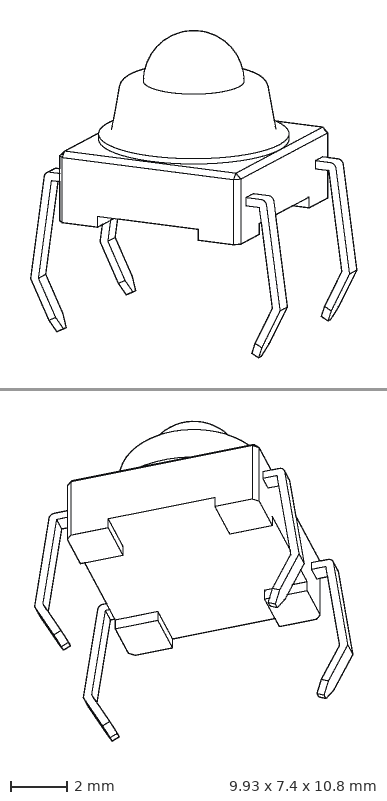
import cadquery as cq
import math


housing_x = 7.2
housing_y = 7.4
housing_height = 2.6
edge_chamfer = 0.2
channel_width = 4.0
channel_depth = 0.4

flange_diameter = 6.8
flange_thickness = 0.2
collar_base_radius = 2.96
collar_height = 1.95
collar_draft = 10.0
collar_top_fillet = 0.3
collar_foot_fillet = 0.2
button_height = 3.95

lead_span = 9.93
lead_spacing = 5.6
lead_width = 0.6
lead_thickness = 0.3
lead_top_z = 1.63
knee_z = -2.4
lead_bottom_z = housing_height + button_height - 10.85
upper_lean = 8.0
lower_lean = 26.6
shoulder_radius = 0.22
tip_width = 0.22
tip_length = 0.5


def make_housing():
    """Chamfered block standing on four feet left by two crossing channels."""
    block = cq.Workplane("XY").box(housing_x, housing_y, housing_height, centered=(True, True, False))
    block = block.edges("|Z or >Z").chamfer(edge_chamfer)
    channel_along_x = cq.Workplane("XY").box(
        housing_x, channel_width, channel_depth, centered=(True, True, False)
    )
    channel_along_y = cq.Workplane("XY").box(
        channel_width, housing_y, channel_depth, centered=(True, True, False)
    )
    return block.cut(channel_along_x).cut(channel_along_y)


def circle_at(body, radius, height):
    """Select the circular edge of the given radius at the given height."""
    tolerance = 0.001
    return body.edges("%CIRCLE").filter(
        lambda edge: abs(edge.radius() - radius) < tolerance and abs(edge.Center().z - height) < tolerance
    )


def make_button():
    """Flange, collar and dome revolved about Z, resting on the housing top."""
    flange_radius = flange_diameter / 2
    flange_top_z = housing_height + flange_thickness
    collar_top_z = flange_top_z + collar_height
    collar_top_radius = collar_base_radius - collar_height * math.tan(math.radians(collar_draft))
    dome_top_z = housing_height + button_height
    dome_radius = dome_top_z - collar_top_z
    dome_diagonal = dome_radius * math.sqrt(0.5)

    button = (
        cq.Workplane("XZ")
        .moveTo(0, housing_height)
        .lineTo(flange_radius, housing_height)
        .lineTo(flange_radius, flange_top_z)
        .lineTo(collar_base_radius, flange_top_z)
        .lineTo(collar_top_radius, collar_top_z)
        .lineTo(dome_radius, collar_top_z)
        .threePointArc((dome_diagonal, collar_top_z + dome_diagonal), (0, dome_top_z))
        .close()
        .revolve(360, (0, 0, 0), (0, 1, 0))
    )
    button = circle_at(button, collar_base_radius, flange_top_z).fillet(collar_foot_fillet)
    return circle_at(button, collar_top_radius, collar_top_z).fillet(collar_top_fillet)


def make_lead():
    """One bent strip on the -X side, centred on Y = 0, with a pointed tip."""
    upper = math.radians(upper_lean)
    lower = math.radians(lower_lean)
    root_x = -housing_x / 2
    knee_x = -lead_span / 2

    shoulder = (knee_x + (lead_top_z - knee_z) * math.tan(upper), lead_top_z)
    knee = (knee_x, knee_z)
    tip = (knee_x + (knee_z - lead_bottom_z) * math.tan(lower), lead_bottom_z)

    shoulder_mitre = math.tan((math.pi / 2 - upper) / 2)
    inner_shoulder = (shoulder[0] + lead_thickness * shoulder_mitre, lead_top_z - lead_thickness)
    knee_mitre = lead_thickness / math.cos((upper + lower) / 2)
    knee_angle = (lower - upper) / 2
    inner_knee = (
        knee[0] + knee_mitre * math.cos(knee_angle),
        knee[1] + knee_mitre * math.sin(knee_angle),
    )
    inner_tip = (
        tip[0] + lead_thickness * math.cos(lower),
        tip[1] + lead_thickness * math.sin(lower),
    )

    outline = [
        (root_x, lead_top_z),
        shoulder,
        knee,
        tip,
        inner_tip,
        inner_knee,
        inner_shoulder,
        (root_x, lead_top_z - lead_thickness),
    ]
    lead = cq.Workplane("XZ").polyline(outline).close().extrude(lead_width / 2, both=True)
    shoulder_edge = cq.selectors.NearestToPointSelector((shoulder[0], 0, shoulder[1]))
    lead = lead.edges("|Y").edges(shoulder_edge).fillet(shoulder_radius)

    tip_plane = cq.Plane(
        origin=(tip[0], 0, tip[1]),
        xDir=(0, 1, 0),
        normal=(math.cos(lower), 0, math.sin(lower)),
    )
    for side in (-1, 1):
        corner = [
            (side * lead_width / 2, 0),
            (side * lead_width / 2, tip_length),
            (side * tip_width / 2, 0),
        ]
        lead = lead.cut(cq.Workplane(tip_plane).polyline(corner).close().extrude(lead_thickness))
    return lead


def make_leads():
    """Four copies of the lead: two on each X side."""
    left_lead = make_lead()
    right_lead = left_lead.mirror("YZ")
    leads = []
    for lead in (left_lead, right_lead):
        for lead_y in (-lead_spacing / 2, lead_spacing / 2):
            leads.append(lead.translate((0, lead_y, 0)).val())
    return leads


housing = make_housing()
button = make_button()
leads = make_leads()

result = cq.Compound.makeCompound([housing.val(), button.val(), *leads])